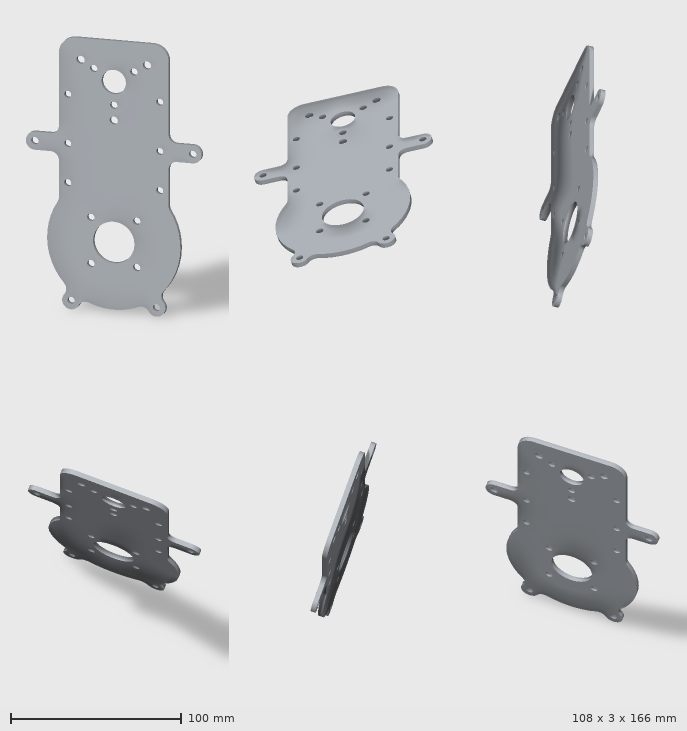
import cadquery as cq
import math

overall_width = 108.0
overall_height = 166.0
thickness = 3.0

ear_radius = 5.5
root_fillet = 5.0

disc_radius = 41.0
lug_circle_radius = 45.8
lug_angle = math.radians(35.0)
lug_x = lug_circle_radius * math.sin(lug_angle)
lug_z = -lug_circle_radius * math.cos(lug_angle)

body_width = 67.5
body_top = overall_height + lug_z - ear_radius
corner_radius = 10.0

arm_height = 58.0
arm_hole_x = overall_width / 2 - ear_radius

bore_diameter = 25.4
bore_mount_spacing = 28.2

upper_bore_height = 98.0
upper_bore_diameter = 15.0
ring_hole_count = 3
ring_start_angle = 30.0
inner_ring_radius = 14.3
outer_ring_radius = 23.5

edge_hole_x = body_width / 2 - ear_radius
edge_hole_heights = (34.0, arm_height, 88.0)

edge_hole_diameter = 4.3
mount_hole_diameter = 4.5
outer_ring_hole_diameter = 5.0


def mirrored(x, z):
    """A point and its mirror image across the plate's middle line."""
    return [(-x, z), (x, z)]


def disc(points, radius):
    """Round plates of the full thickness, one at each point."""
    return cq.Workplane("XZ").pushPoints(points).circle(radius).extrude(-thickness)


def make_body():
    slab = cq.Workplane("XZ").center(0, body_top / 2).rect(body_width, body_top).extrude(-thickness)
    return slab.edges("|Y and >Z").fillet(corner_radius)


def make_arms():
    bar = cq.Workplane("XZ").center(0, arm_height)
    return bar.slot2D(overall_width, 2 * ear_radius).extrude(-thickness)


def inner_corners():
    """Every sharp inner corner of the joined outline."""
    corners = []
    for side in (-1, 1):
        corners += mirrored(body_width / 2, arm_height + side * ear_radius)

        crossing_cosine = (disc_radius**2 + lug_circle_radius**2 - ear_radius**2) / (
            2 * disc_radius * lug_circle_radius
        )
        angle = lug_angle + side * math.acos(crossing_cosine)
        corners += mirrored(disc_radius * math.sin(angle), -disc_radius * math.cos(angle))

    corners += mirrored(body_width / 2, math.sqrt(disc_radius**2 - (body_width / 2) ** 2))
    return corners


def round_inner_corners(plate):
    for x, z in inner_corners():
        edge = cq.selectors.NearestToPointSelector((x, thickness / 2, z))
        plate = plate.edges("|Y").edges(edge).fillet(root_fillet)
    return plate


def drill(plate, points, diameter):
    """Cut round holes through the plate at each point."""
    return plate.cut(disc(points, diameter / 2))


def upper_ring(radius):
    """Evenly spaced points on a circle around the upper bore."""
    points = []
    for i in range(ring_hole_count):
        angle = math.radians(ring_start_angle + i * 360.0 / ring_hole_count)
        points.append((radius * math.cos(angle), upper_bore_height + radius * math.sin(angle)))
    return points


plate = make_body().union(disc([(0, 0)], disc_radius))
plate = plate.union(make_arms())
plate = plate.union(disc(mirrored(lug_x, lug_z), ear_radius))
plate = round_inner_corners(plate)

plate = drill(plate, [(0, 0)], bore_diameter)
plate = drill(plate, [(0, upper_bore_height)], upper_bore_diameter)

for height in (-bore_mount_spacing / 2, bore_mount_spacing / 2):
    plate = drill(plate, mirrored(bore_mount_spacing / 2, height), mount_hole_diameter)
plate = drill(plate, upper_ring(inner_ring_radius), mount_hole_diameter)
plate = drill(plate, upper_ring(outer_ring_radius), outer_ring_hole_diameter)
plate = drill(plate, mirrored(arm_hole_x, arm_height), mount_hole_diameter)

for height in edge_hole_heights:
    plate = drill(plate, mirrored(edge_hole_x, height), edge_hole_diameter)
plate = drill(plate, mirrored(lug_x, lug_z), edge_hole_diameter)

result = plate